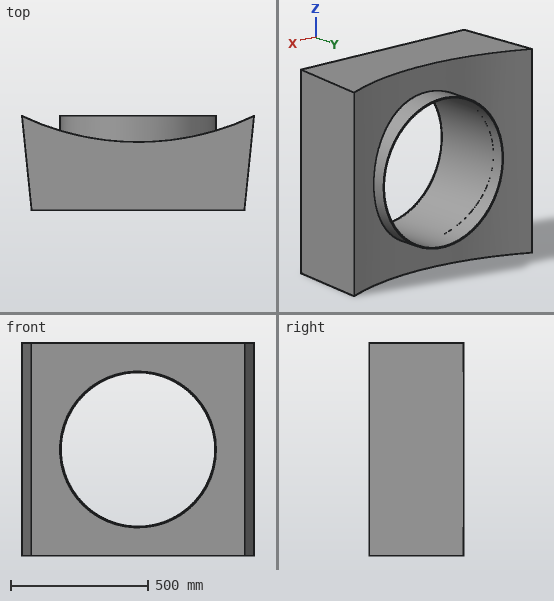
import cadquery as cq

back_width = 845.0
front_width = 775.0
height = 775.0
depth = 344.0
back_sag = 95.5

sleeve_diameter = 569.0
sleeve_wall = 4.0
sleeve_length = 345.0


def cylinder_along_y(diameter):
    """Cylinder from the front face (Y = 0) to the sleeve length, centred on the Y axis."""
    return cq.Workplane("XZ").circle(diameter / 2).extrude(-sleeve_length)


def make_block():
    """Block with a concave cylindrical back and a bore that fits the sleeve."""
    blank = (
        cq.Workplane("XY")
        .moveTo(-front_width / 2, 0)
        .lineTo(front_width / 2, 0)
        .lineTo(back_width / 2, depth)
        .threePointArc((0, depth - back_sag), (-back_width / 2, depth))
        .close()
        .extrude(height / 2, both=True)
    )
    return blank.cut(cylinder_along_y(sleeve_diameter))


def make_sleeve():
    """Straight tube whose back end stands clear of the concave face."""
    bore_diameter = sleeve_diameter - 2 * sleeve_wall
    return cylinder_along_y(sleeve_diameter).cut(cylinder_along_y(bore_diameter))


block = make_block()
sleeve = make_sleeve()

result = cq.Compound.makeCompound([block.val(), sleeve.val()])